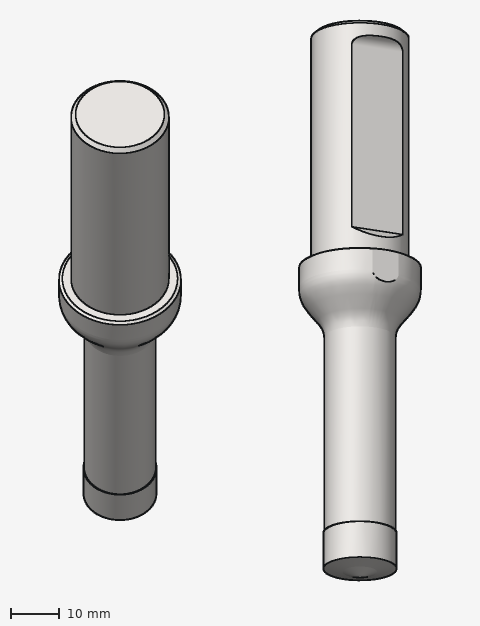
import cadquery as cq

total_length = 117.3
head_shoulder_z = 2.0
head_top_z = 9.7
neck_top_z = 51.8
collar_bottom_z = 62.4
collar_top_z = 67.3

head_radius = 15.0 / 2
point_radius = 7.0 / 2
point_height = 1.3

neck_radius = 14.7 / 2
flare_lower_handle = 4.3
flare_upper_handle = 4.9

collar_radius = 25.0 / 2
collar_chamfer_width = 0.7
collar_chamfer_height = 0.4
collar_flat_y = 24.6 - collar_radius

shank_radius = 20.0 / 2
shank_chamfer_width = 0.9
shank_chamfer_height = 0.8
clamp_flat_y = 8.2
clamp_bottom_z = 70.6
clamp_top_z = 113.9
clamp_top_fillet = 2.0
clamp_bottom_chamfer = 1.9


def revolve_profile(profile):
    """Revolve a closed (radius, height) profile about the Z axis."""
    return profile.close().revolve(360, (0, 0, 0), (0, 1, 0))


def make_drill_head():
    """Short cylinder whose double-angle cone ends in the tip."""
    profile = (
        cq.Workplane("XZ")
        .moveTo(0, 0)
        .lineTo(point_radius, point_height)
        .lineTo(head_radius, head_shoulder_z)
        .lineTo(head_radius, head_top_z)
        .lineTo(0, head_top_z)
    )
    return revolve_profile(profile)


def make_turned_holder():
    """Neck, flare, collar and shank as one turned shape."""
    profile = (
        cq.Workplane("XZ")
        .moveTo(0, head_top_z)
        .lineTo(neck_radius, head_top_z)
        .lineTo(neck_radius, neck_top_z)
        .bezier(
            [
                (neck_radius, neck_top_z),
                (neck_radius, neck_top_z + flare_lower_handle),
                (collar_radius, collar_bottom_z - flare_upper_handle),
                (collar_radius, collar_bottom_z),
            ]
        )
        .lineTo(collar_radius, collar_top_z - collar_chamfer_height)
        .lineTo(collar_radius - collar_chamfer_width, collar_top_z)
        .lineTo(shank_radius, collar_top_z)
        .lineTo(shank_radius, total_length - shank_chamfer_height)
        .lineTo(shank_radius - shank_chamfer_width, total_length)
        .lineTo(0, total_length)
    )
    return revolve_profile(profile)


def make_collar_flat_cutter():
    """Block beyond the collar flat, over the collar and its flare."""
    return cq.Workplane("XY").box(
        2 * collar_radius, collar_radius, collar_top_z - neck_top_z, centered=(True, False, False)
    ).translate((0, collar_flat_y, neck_top_z))


def make_clamp_flat_cutter():
    """Block beyond the clamping flat, rounded at its upper end and bevelled at its lower end."""
    block = cq.Workplane("XY").box(
        2 * shank_radius, shank_radius, clamp_top_z - clamp_bottom_z, centered=(True, False, False)
    ).translate((0, clamp_flat_y, clamp_bottom_z))
    block = block.faces("<Y").edges(">Z").fillet(clamp_top_fillet)
    return block.faces("<Y").edges("<Z").chamfer(clamp_bottom_chamfer)


def make_holder():
    """Turned holder with both flats cut."""
    return make_turned_holder().cut(make_collar_flat_cutter()).cut(make_clamp_flat_cutter())


drill_head = make_drill_head()
holder = make_holder()

result = cq.Compound.makeCompound([drill_head.val(), holder.val()])